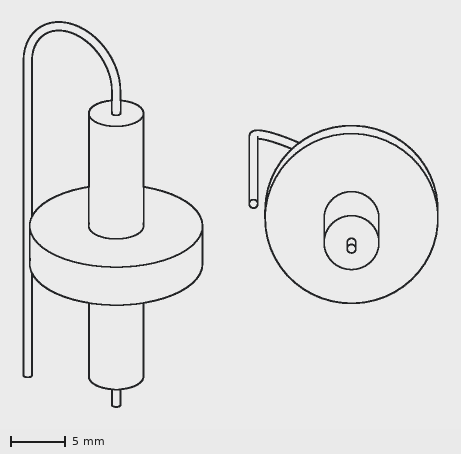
import cadquery as cq

overall_height = 38.5
wire_diameter = 0.8
lead_spacing = 10.0
body_diameter = 5.1
body_bottom = 3.0
body_length = 27.72
disc_diameter = 16.0
disc_thickness = 4.0

body_middle = body_bottom + body_length / 2
bend_radius = lead_spacing / 2
bend_top = overall_height - wire_diameter / 2
bend_start = bend_top - bend_radius


def cylinder(diameter, bottom, length):
    """Vertical cylinder on the body axis."""
    return cq.Workplane("XY").workplane(offset=bottom).circle(diameter / 2).extrude(length)


def bent_wire():
    """Lead that passes through the body, bends over the top and returns down beside the disc."""
    path = (
        cq.Workplane("XZ")
        .lineTo(0, bend_start)
        .threePointArc((-bend_radius, bend_top), (-lead_spacing, bend_start))
        .lineTo(-lead_spacing, 0)
    )
    return cq.Workplane("XY").circle(wire_diameter / 2).sweep(path)


body = cylinder(body_diameter, body_bottom, body_length)
disc = cylinder(disc_diameter, body_middle - disc_thickness / 2, disc_thickness)

result = body.union(disc).union(bent_wire())